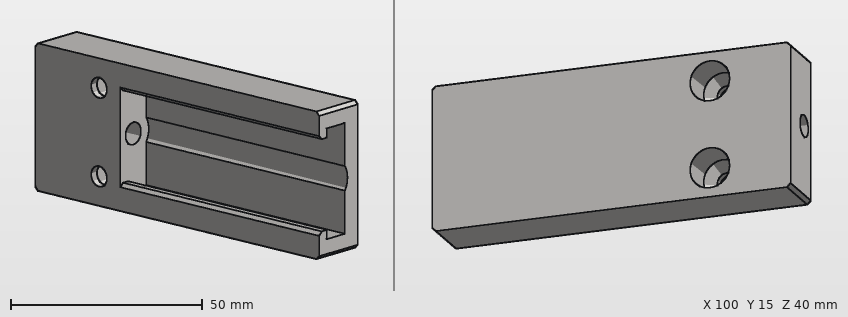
import cadquery as cq

length = 100.0
thickness = 15.0
height = 40.0
corner_chamfer = 1.0
mid_height = height / 2

slot_start = 30.0
slot_length = length - slot_start
throat_width = 25.0
lip_chamfer = 1.0
lip_depth = 3.0
undercut_width = 30.0
floor_depth = 10.0

bore_axis_depth = 5.0
end_hole_diameter = 6.0
groove_diameter = 12.0

bolt_x = 22.5
bolt_spacing = 24.0
bolt_diameter = 5.5
head_diameter = 11.0
head_seat_depth = 5.0


def block():
    """Plate with chamfered corners, front face on Y = 0."""
    plate = cq.Workplane("XY").box(length, thickness, height, centered=False)
    return plate.edges("|Y").chamfer(corner_chamfer)


def slot():
    """Undercut slot with a chamfered mouth."""
    throat_bottom = mid_height - throat_width / 2
    undercut_bottom = mid_height - undercut_width / 2
    lower_half = [
        (0, throat_bottom - lip_chamfer),
        (lip_chamfer, throat_bottom),
        (lip_depth, throat_bottom),
        (lip_depth, undercut_bottom),
        (floor_depth, undercut_bottom),
    ]
    upper_half = [(y, height - z) for y, z in reversed(lower_half)]
    profile = cq.Workplane("YZ", origin=(slot_start, 0, 0)).polyline(lower_half + upper_half).close()
    return profile.extrude(slot_length)


def lengthwise_bore(start_x, diameter, depth):
    """Cylinder along +X on the shared lengthwise axis."""
    start = cq.Workplane("YZ", origin=(start_x, bore_axis_depth, mid_height))
    return start.circle(diameter / 2).extrude(depth)


def bolt_hole(z):
    """Round hole along Y: shank, 45 degree head seat, then a head recess open at the back."""
    shank_radius = bolt_diameter / 2
    head_radius = head_diameter / 2
    shank_end = head_seat_depth - (head_radius - shank_radius)
    half_section = [
        (0, 0),
        (shank_radius, 0),
        (shank_radius, shank_end),
        (head_radius, head_seat_depth),
        (head_radius, thickness),
        (0, thickness),
    ]
    profile = cq.Workplane("XY", origin=(bolt_x, 0, z)).polyline(half_section).close()
    return profile.revolve(360, (0, 0, 0), (0, 1, 0))


end_hole = lengthwise_bore(0, end_hole_diameter, slot_start)
floor_groove = lengthwise_bore(slot_start, groove_diameter, slot_length)

result = block().cut(slot()).cut(floor_groove).cut(end_hole)
for side in (-1, 1):
    result = result.cut(bolt_hole(mid_height + side * bolt_spacing / 2))